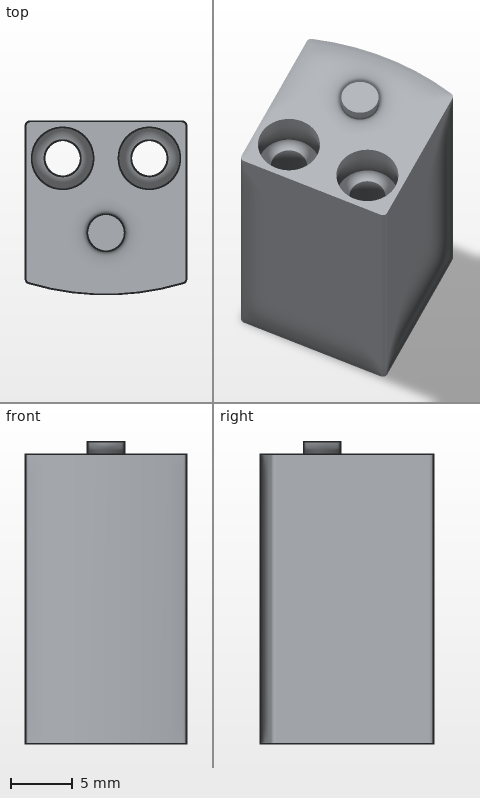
import cadquery as cq

total_height = 24.4
width = 13.0
depth = 14.0
pin_height = 1.0
housing_height = total_height - pin_height

front_bow = 1.0
corner_radius = 0.4
half_width = width / 2
back_y = depth / 2
front_y = -depth / 2
front_corner_y = front_y + front_bow

hole_diameter = 2.9
counterbore_diameter = 5.0
counterbore_depth = 3.0
hole_spacing = 7.0
hole_back_distance = 3.0
hole_y = back_y - hole_back_distance

pin_diameter = 3.0
pin_back_distance = 9.0
pin_y = back_y - pin_back_distance


def make_housing():
    """Block with a bowed front, rounded upright edges and two counterbored holes."""
    block = (
        cq.Workplane("XY")
        .moveTo(-half_width, back_y)
        .lineTo(-half_width, front_corner_y)
        .threePointArc((0, front_y), (half_width, front_corner_y))
        .lineTo(half_width, back_y)
        .close()
        .extrude(housing_height)
        .edges("|Z")
        .fillet(corner_radius)
    )
    hole_centers = [(-hole_spacing / 2, hole_y), (hole_spacing / 2, hole_y)]
    return (
        block.faces(">Z")
        .workplane(origin=(0, 0, housing_height))
        .pushPoints(hole_centers)
        .cboreHole(hole_diameter, counterbore_diameter, counterbore_depth)
    )


def make_pin():
    """Short round pin standing on the top face of the housing."""
    return (
        cq.Workplane("XY", origin=(0, pin_y, housing_height))
        .circle(pin_diameter / 2)
        .extrude(pin_height)
    )


housing = make_housing()
pin = make_pin()

result = cq.Compound.makeCompound([housing.solids().val(), pin.val()])